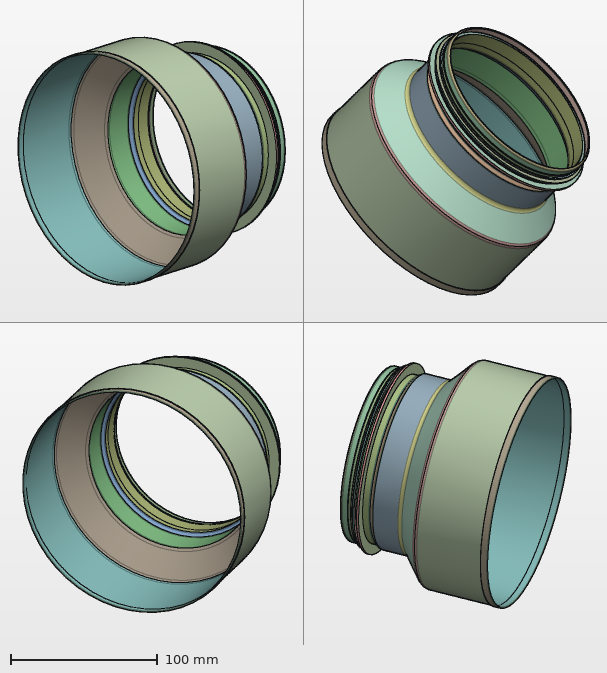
import cadquery as cq
import math

WALL = 0.5
LENGTH = 115.0

WIDE_RADIUS = 161.3 / 2
HEM_RADIUS = 162.3 / 2
HEM_LENGTH = 5.2
WIDE_END = 51.6

NECK_RADIUS = 124.0 / 2
NECK_START = 72.4
BEND_RADIUS = 4.5

SEAT_RADIUS = 119.3 / 2
RAMP_START = 90.5
RAMP_END = 94.5
RAMP_BEND_RADIUS = 1.5
SEAT_END = 108.9
LIP_RADIUS = 120.5 / 2

GASKET_RADIUS = 123.0 / 2
GASKET_START = 99.0
FLANGE_RADIUS = 134.4 / 2
FLANGE_END = 100.6
COLLAR_RADIUS = 125.3 / 2
COLLAR_END = 101.1
LARGE_FIN_RADIUS = 129.4 / 2
LARGE_FIN_START = 103.4
SMALL_FIN_START = 105.5
FIN_THICKNESS = 1.1


def revolve_about_y(profile):
    """Turn a closed (radius, Y) profile into a ring about the Y axis."""
    return profile.close().revolve(360, (0, 0, 0), (0, 1, 0))


def tangent_slope(rise, drop, bend_radius):
    """Slope from the axis of a wall that drops in radius between two equal opposite bends.

    rise is the Y distance between the outer ends of the bends.
    """
    run = drop - 2 * bend_radius
    return math.atan2(run, rise) + math.asin(2 * bend_radius / math.hypot(rise, run))


def arc_point(centre, radius, angle):
    """Point on an arc; the angle is measured from +radius towards +Y."""
    return (centre[0] + radius * math.cos(angle), centre[1] + radius * math.sin(angle))


def build_reducer():
    """Thin sheet reducer: hemmed wide socket, cone, spigot with gasket seat."""
    wide_inner = WIDE_RADIUS - WALL
    neck_inner = NECK_RADIUS - WALL
    seat_inner = SEAT_RADIUS - WALL
    hem_round = (HEM_RADIUS - wide_inner) / 2
    curl_radius = NECK_RADIUS - LIP_RADIUS
    curl_centre = (LIP_RADIUS, LENGTH - curl_radius)

    slope = tangent_slope(NECK_START - WIDE_END, WIDE_RADIUS - NECK_RADIUS, BEND_RADIUS)
    wide_centre = (WIDE_RADIUS - BEND_RADIUS, WIDE_END)
    neck_centre = (NECK_RADIUS + BEND_RADIUS, NECK_START)
    facing_axis = math.pi

    ramp_slope = tangent_slope(RAMP_END - RAMP_START, NECK_RADIUS - SEAT_RADIUS, RAMP_BEND_RADIUS)
    ramp_start_centre = (NECK_RADIUS - RAMP_BEND_RADIUS, RAMP_START)
    ramp_end_centre = (SEAT_RADIUS + RAMP_BEND_RADIUS, RAMP_END)

    wide_corner = WIDE_END + (BEND_RADIUS - WALL) * math.tan(slope / 2)
    neck_corner = NECK_START - (BEND_RADIUS + WALL) * math.tan(slope / 2)
    ramp_start_corner = RAMP_START + (RAMP_BEND_RADIUS - WALL) * math.tan(ramp_slope / 2)
    ramp_end_corner = RAMP_END - (RAMP_BEND_RADIUS + WALL) * math.tan(ramp_slope / 2)

    profile = (
        cq.Workplane("XY")
        .moveTo(wide_inner, hem_round)
        .threePointArc((wide_inner + hem_round, 0), (HEM_RADIUS, hem_round))
        .lineTo(HEM_RADIUS, HEM_LENGTH)
        .lineTo(WIDE_RADIUS, HEM_LENGTH)
        .lineTo(WIDE_RADIUS, WIDE_END)
        .threePointArc(arc_point(wide_centre, BEND_RADIUS, slope / 2),
                       arc_point(wide_centre, BEND_RADIUS, slope))
        .lineTo(*arc_point(neck_centre, BEND_RADIUS, facing_axis + slope))
        .threePointArc(arc_point(neck_centre, BEND_RADIUS, facing_axis + slope / 2),
                       (NECK_RADIUS, NECK_START))
        .lineTo(NECK_RADIUS, RAMP_START)
        .threePointArc(arc_point(ramp_start_centre, RAMP_BEND_RADIUS, ramp_slope / 2),
                       arc_point(ramp_start_centre, RAMP_BEND_RADIUS, ramp_slope))
        .lineTo(*arc_point(ramp_end_centre, RAMP_BEND_RADIUS, facing_axis + ramp_slope))
        .threePointArc(arc_point(ramp_end_centre, RAMP_BEND_RADIUS, facing_axis + ramp_slope / 2),
                       (SEAT_RADIUS, RAMP_END))
        .lineTo(SEAT_RADIUS, SEAT_END)
        .lineTo(NECK_RADIUS, SEAT_END)
        .lineTo(NECK_RADIUS, curl_centre[1])
        .threePointArc(arc_point(curl_centre, curl_radius, math.pi / 4), (LIP_RADIUS, LENGTH))
        .lineTo(LIP_RADIUS, LENGTH - WALL)
        .threePointArc(arc_point(curl_centre, curl_radius - WALL, math.pi / 4),
                       (neck_inner, curl_centre[1]))
        .lineTo(neck_inner, SEAT_END + WALL)
        .lineTo(seat_inner, SEAT_END + WALL)
        .lineTo(seat_inner, ramp_end_corner)
        .lineTo(neck_inner, ramp_start_corner)
        .lineTo(neck_inner, neck_corner)
        .lineTo(wide_inner, wide_corner)
    )
    return revolve_about_y(profile)


def build_gasket():
    """Sealing ring in the seat, with a wide flange, a collar and two fins."""
    profile = (
        cq.Workplane("XY")
        .moveTo(SEAT_RADIUS, GASKET_START)
        .lineTo(FLANGE_RADIUS, GASKET_START)
        .lineTo(FLANGE_RADIUS, FLANGE_END)
        .lineTo(COLLAR_RADIUS, FLANGE_END)
        .lineTo(COLLAR_RADIUS, COLLAR_END)
        .lineTo(GASKET_RADIUS, COLLAR_END)
    )
    for fin_radius, fin_start in ((LARGE_FIN_RADIUS, LARGE_FIN_START),
                                  (COLLAR_RADIUS, SMALL_FIN_START)):
        fin_end = fin_start + FIN_THICKNESS
        profile = (
            profile.lineTo(GASKET_RADIUS, fin_start)
            .lineTo(fin_radius, fin_start)
            .lineTo(fin_radius, fin_end)
            .lineTo(GASKET_RADIUS, fin_end)
        )
    profile = profile.lineTo(GASKET_RADIUS, SEAT_END).lineTo(SEAT_RADIUS, SEAT_END)
    return revolve_about_y(profile)


reducer = build_reducer()
gasket = build_gasket()

result = cq.Compound.makeCompound([reducer.val(), gasket.val()])